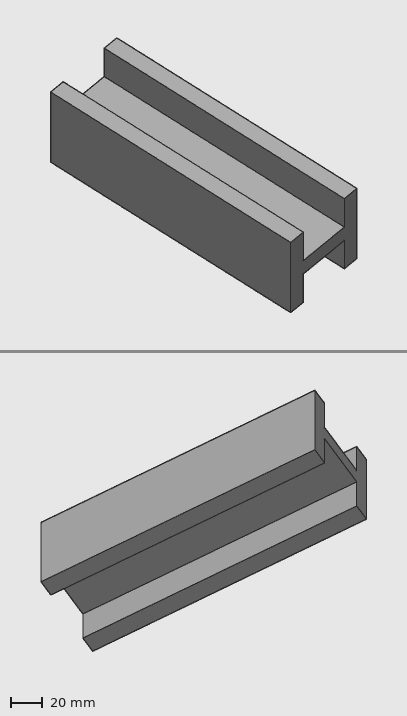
import cadquery as cq

length = 200.0
section_width = 63.0
section_height = 63.0
flange_thickness = 12.0
web_thickness = 12.0

flange_offset = (section_width - flange_thickness) / 2

result = cq.Workplane("XY").box(length, 2 * flange_offset, web_thickness)

for side in (-1, 1):
    flange = (
        cq.Workplane("XY")
        .box(length, flange_thickness, section_height)
        .translate((0, side * flange_offset, 0))
    )
    result = result.union(flange)